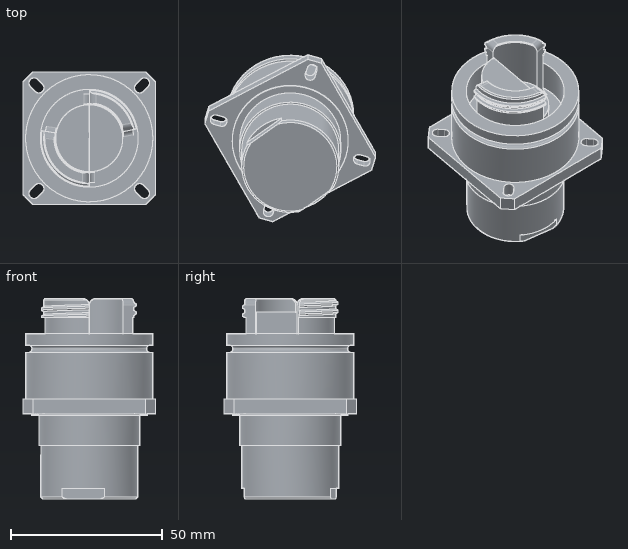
import cadquery as cq
import math

total_height = 66.05
collar_bottom = 17.6
gasket_bottom = 27.55
flange_bottom = 28.0
flange_top = 32.95
groove_bottom = 48.3
groove_top = 50.6
body_top = 54.5
bore_floor = 42.9

lower_radius = 16.0
lower_chamfer = 0.65
collar_radius = 16.65
gasket_radius = 19.1
body_radius = 20.95
groove_root_radius = 18.95
groove_round = 1.05
bore_radius = 16.1

flat_height = 3.55
flat_distance = 14.3
flat_angle = -7.7

flange_side = 43.7
flange_corner_chamfer = 3.3
slot_length = 5.55
slot_width = 3.3
slot_offset = 17.4

insert_radius = 11.0
insert_low_top = 48.2
insert_high_top = 61.55

tube_inner_radius = 11.35
tube_outer_radius = 14.6
inner_edge_chamfer = 0.25
outer_edge_chamfer_width = 0.3
outer_edge_chamfer_height = 0.6
segment_angles = [(11.0, 90.0), (171.0, 270.0)]
end_top_round = 2.25
end_base_fillet = 1.65

thread_root_radius = 15.0
thread_crest_radius = 15.8
thread_bottom = 59.7
thread_pitch = 2.65
thread_start_angle = 150.0
thread_start_height = 59.65
thread_base_width = 1.7
thread_crest_width = 0.65
thread_overlap = 0.25
thread_turns = 1.9


def make_body():
    """Turned body from the bottom face to the rim, with the ring groove."""
    profile = (
        cq.Workplane("XZ")
        .moveTo(0, 0)
        .lineTo(lower_radius - lower_chamfer, 0)
        .lineTo(lower_radius, lower_chamfer)
        .lineTo(lower_radius, collar_bottom)
        .lineTo(collar_radius, collar_bottom)
        .lineTo(collar_radius, gasket_bottom)
        .lineTo(gasket_radius, gasket_bottom)
        .lineTo(gasket_radius, flange_bottom)
        .lineTo(body_radius, flange_bottom)
        .lineTo(body_radius, groove_bottom)
        .lineTo(groove_root_radius + groove_round, groove_bottom)
        .radiusArc((groove_root_radius, groove_bottom + groove_round), groove_round)
        .lineTo(groove_root_radius, groove_top - groove_round)
        .radiusArc((groove_root_radius + groove_round, groove_top), groove_round)
        .lineTo(body_radius, groove_top)
        .lineTo(body_radius, body_top)
        .lineTo(bore_radius, body_top)
        .lineTo(bore_radius, bore_floor)
        .lineTo(0, bore_floor)
        .close()
    )
    return profile.revolve(360, (0, 0, 0), (0, 1, 0))


def make_flange():
    """Square plate with cut corners and a radial slot in each corner."""
    thickness = flange_top - flange_bottom
    plate = (
        cq.Workplane("XY")
        .workplane(offset=flange_bottom)
        .rect(flange_side, flange_side)
        .extrude(thickness)
        .edges("|Z")
        .chamfer(flange_corner_chamfer)
    )
    for sign_x in (1, -1):
        for sign_y in (1, -1):
            slot = (
                cq.Workplane("XY")
                .workplane(offset=flange_bottom)
                .center(sign_x * slot_offset, sign_y * slot_offset)
                .slot2D(slot_length, slot_width, 45 * sign_x * sign_y)
                .extrude(thickness)
            )
            plate = plate.cut(slot)
    return plate


def make_flat_cutter():
    """Blocks outside the two opposite flats."""
    depth = lower_radius - flat_distance
    cutter = cq.Workplane("XY")
    for side in (1, -1):
        cutter = cutter.add(
            cq.Workplane("XY")
            .box(2 * lower_radius, depth, flat_height, centered=(True, True, False))
            .translate((0, side * (flat_distance + depth / 2), 0))
        )
    return cutter.combine().rotate((0, 0, 0), (0, 0, 1), flat_angle)


def make_insert():
    """Cylinder whose -X half stands higher than its +X half."""
    base = cq.Workplane("XY").workplane(offset=bore_floor)
    low = base.circle(insert_radius).extrude(insert_low_top - bore_floor)
    half = (
        base.moveTo(0, insert_radius)
        .threePointArc((-insert_radius, 0), (0, -insert_radius))
        .close()
        .extrude(insert_high_top - bore_floor)
    )
    return low.union(half)


def make_thread():
    """Helical ridge of trapezoidal section, trimmed at the foot of the threaded zone."""
    path = cq.Wire.makeHelix(thread_pitch, thread_pitch * thread_turns, thread_root_radius)
    flank_slope = (thread_base_width - thread_crest_width) / (thread_crest_radius - thread_root_radius)
    inner_radius = thread_root_radius - thread_overlap
    inner_width = thread_base_width + flank_slope * thread_overlap
    ridge = (
        cq.Workplane("XZ")
        .moveTo(inner_radius, -inner_width / 2)
        .lineTo(thread_crest_radius, -thread_crest_width / 2)
        .lineTo(thread_crest_radius, thread_crest_width / 2)
        .lineTo(inner_radius, inner_width / 2)
        .close()
        .sweep(cq.Workplane(obj=path), isFrenet=True)
        .rotate((0, 0, 0), (0, 0, 1), thread_start_angle)
        .translate((0, 0, thread_start_height))
    )
    zone = (
        cq.Workplane("XY")
        .workplane(offset=thread_bottom)
        .circle(body_radius)
        .extrude(total_height - thread_bottom)
    )
    return ridge.intersect(zone)


def make_tube():
    """Complete threaded tube from which the two segments are taken."""
    profile = (
        cq.Workplane("XZ")
        .moveTo(tube_inner_radius, bore_floor)
        .lineTo(tube_outer_radius, bore_floor)
        .lineTo(tube_outer_radius, thread_bottom)
        .lineTo(thread_root_radius, thread_bottom)
        .lineTo(thread_root_radius, total_height - outer_edge_chamfer_height)
        .lineTo(thread_root_radius - outer_edge_chamfer_width, total_height)
        .lineTo(tube_inner_radius + inner_edge_chamfer, total_height)
        .lineTo(tube_inner_radius, total_height - inner_edge_chamfer)
        .close()
    )
    return profile.revolve(360, (0, 0, 0), (0, 1, 0)).union(make_thread())


def make_sector(start_angle, end_angle):
    """Pie-shaped block between two angles, wide enough to hold the tube."""
    def point(angle):
        return (
            body_radius * math.cos(math.radians(angle)),
            body_radius * math.sin(math.radians(angle)),
        )

    return (
        cq.Workplane("XY")
        .workplane(offset=bore_floor)
        .lineTo(*point(start_angle))
        .threePointArc(point((start_angle + end_angle) / 2), point(end_angle))
        .close()
        .extrude(total_height - bore_floor)
    )


def place_end_prism(outline, angle, inward):
    """Extrude an end-face outline radially and turn it onto a segment end."""
    prism = outline.extrude(body_radius)
    if inward < 0:
        prism = prism.mirror("XZ")
    return prism.rotate((0, 0, 0), (0, 0, 1), angle)


def make_end_round_cutter(angle, inward):
    """Material above the rounded top corner of a segment end."""
    outline = (
        cq.Workplane("YZ")
        .moveTo(0, total_height - end_top_round)
        .radiusArc((end_top_round, total_height), end_top_round)
        .lineTo(0, total_height)
        .close()
    )
    return place_end_prism(outline, angle, inward)


def make_end_fillet(angle, inward):
    """Concave fillet between a segment end and the bore floor."""
    outline = (
        cq.Workplane("YZ")
        .moveTo(0, bore_floor)
        .lineTo(0, bore_floor + end_base_fillet)
        .radiusArc((-end_base_fillet, bore_floor), end_base_fillet)
        .close()
    )
    return place_end_prism(outline, angle, inward)


def make_segment(tube, start_angle, end_angle):
    """One tube segment with rounded top corners and filleted feet."""
    segment = make_sector(start_angle, end_angle)
    for angle, inward in ((start_angle, 1), (end_angle, -1)):
        segment = segment.cut(make_end_round_cutter(angle, inward))
        segment = segment.union(make_end_fillet(angle, inward))
    return tube.intersect(segment)


result = make_body().cut(make_flat_cutter()).union(make_flange()).union(make_insert())
full_tube = make_tube()
for segment_start, segment_end in segment_angles:
    result = result.union(make_segment(full_tube, segment_start, segment_end))